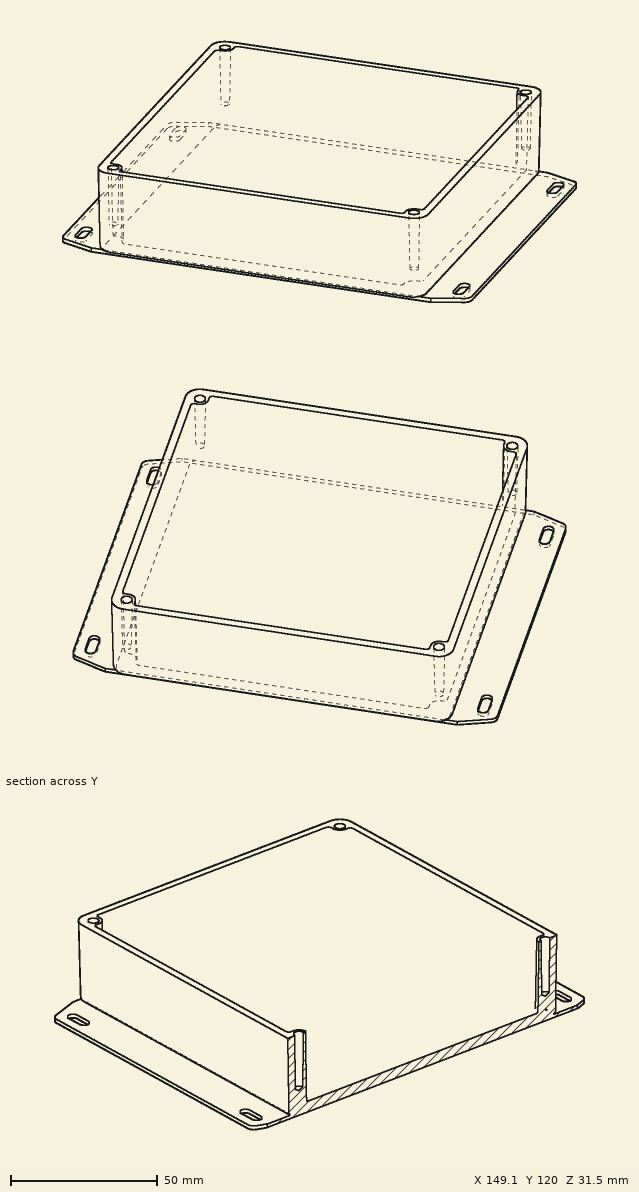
import cadquery as cq
import math

PLATE_LENGTH = 149.1
PLATE_WIDTH = 114.8
PLATE_THICKNESS = 1.5
BOX_SIDE = 120.0
TOTAL_HEIGHT = 31.5

DRAFT = 1.0
BOX_CORNER_RADIUS = 5.0
BOTTOM_EDGE_FILLET = 0.9
RIM_WIDTH = 2.8
FLOOR_THICKNESS = 2.8
FLOOR_FILLET = 0.6

SCREW_SPACING = 109.8
SCREW_HOLE_DIAMETER = 3.7
SCREW_HOLE_DEPTH = 20.9
DRILL_TIP_ANGLE = 118.0
BOSS_RADIUS = 3.0
BOSS_ROOT_FILLET = 1.2

END_CORNER_Y = 53.0
SHOULDER_X = 61.9
END_CORNER_RADIUS = 2.7
SLOT_SPACING_X = 138.0
SLOT_SPACING_Y = 92.2
SLOT_LENGTH = 9.5
SLOT_WIDTH = 3.7

box_height = TOTAL_HEIGHT - PLATE_THICKNESS
draft_slope = math.tan(math.radians(DRAFT))


def mounting_plate():
    """Flat plate with tapered ends, rounded at the tips, and four mounting slots."""
    end_x = PLATE_LENGTH / 2
    side_y = PLATE_WIDTH / 2
    outline = [
        (end_x, END_CORNER_Y),
        (SHOULDER_X, side_y),
        (-SHOULDER_X, side_y),
        (-end_x, END_CORNER_Y),
        (-end_x, -END_CORNER_Y),
        (-SHOULDER_X, -side_y),
        (SHOULDER_X, -side_y),
        (end_x, -END_CORNER_Y),
    ]
    plate = cq.Workplane("XY").polyline(outline).close().extrude(PLATE_THICKNESS)
    plate = plate.edges("|Z and (<X or >X)").fillet(END_CORNER_RADIUS)
    return (
        plate.faces(">Z")
        .workplane(origin=(0, 0, PLATE_THICKNESS))
        .rarray(SLOT_SPACING_X, SLOT_SPACING_Y, 2, 2)
        .slot2D(SLOT_LENGTH, SLOT_WIDTH, 90)
        .cutThruAll()
    )


def outer_box():
    """Solid drafted block with rounded corners, widest at the rim."""
    bottom_side = BOX_SIDE - 2 * box_height * draft_slope

    def section(side):
        return cq.Sketch().rect(side, side).vertices().fillet(BOX_CORNER_RADIUS)

    rim = section(BOX_SIDE).moved(cq.Location(cq.Vector(0, 0, box_height)))
    block = (
        cq.Workplane("XY", origin=(0, 0, PLATE_THICKNESS))
        .placeSketch(section(bottom_side), rim)
        .loft(ruled=True)
    )
    return block.faces("<Z").edges().fillet(BOTTOM_EDGE_FILLET)


def cavity():
    """Drafted pocket whose corners step inward around the screw bosses."""
    depth = box_height - FLOOR_THICKNESS
    wall = BOX_SIDE / 2 - RIM_WIDTH
    screw = SCREW_SPACING / 2
    flank = screw - BOSS_RADIUS
    diagonal = screw - BOSS_RADIUS * math.sqrt(0.5)

    outline = cq.Workplane("XY", origin=(0, 0, TOTAL_HEIGHT)).moveTo(wall, -flank)
    for x_dir, y_dir in [(1, 1), (-1, 1), (-1, -1), (1, -1)]:
        on_x_wall = (x_dir * wall, y_dir * flank)
        arc_x_end = (x_dir * screw, y_dir * flank)
        arc_middle = (x_dir * diagonal, y_dir * diagonal)
        arc_y_end = (x_dir * flank, y_dir * screw)
        on_y_wall = (x_dir * flank, y_dir * wall)
        if x_dir == y_dir:
            outline = outline.lineTo(*on_x_wall).lineTo(*arc_x_end)
            outline = outline.threePointArc(arc_middle, arc_y_end).lineTo(*on_y_wall)
        else:
            outline = outline.lineTo(*on_y_wall).lineTo(*arc_y_end)
            outline = outline.threePointArc(arc_middle, arc_x_end).lineTo(*on_x_wall)
    pocket = outline.close().extrude(-depth, taper=DRAFT)

    middle_z = TOTAL_HEIGHT - depth / 2
    middle_wall = wall - depth / 2 * draft_slope

    def is_boss_root(edge):
        """Upright edge, centred at half depth, where a boss flank meets a wall."""
        center = edge.Center()
        reach = max(abs(center.x), abs(center.y))
        return abs(center.z - middle_z) < depth / 4 and reach > (middle_wall + screw) / 2

    pocket = pocket.edges().filter(is_boss_root).fillet(BOSS_ROOT_FILLET)
    return pocket.faces("<Z").edges().fillet(FLOOR_FILLET)


def screw_holes():
    """Blind drafted holes with conical tips, sunk into the bosses from the rim."""
    rim_radius = SCREW_HOLE_DIAMETER / 2
    tip_radius = rim_radius - SCREW_HOLE_DEPTH * draft_slope
    tip_height = tip_radius / math.tan(math.radians(DRILL_TIP_ANGLE / 2))
    profile = [
        (0, 0),
        (rim_radius, 0),
        (tip_radius, -SCREW_HOLE_DEPTH),
        (0, -SCREW_HOLE_DEPTH - tip_height),
    ]
    hole = cq.Workplane("XZ").polyline(profile).close().revolve(360, (0, 0), (0, 1)).val()
    return (
        cq.Workplane("XY", origin=(0, 0, TOTAL_HEIGHT))
        .rarray(SCREW_SPACING, SCREW_SPACING, 2, 2)
        .eachpoint(hole, combine=False)
    )


result = mounting_plate().union(outer_box()).cut(cavity()).cut(screw_holes())